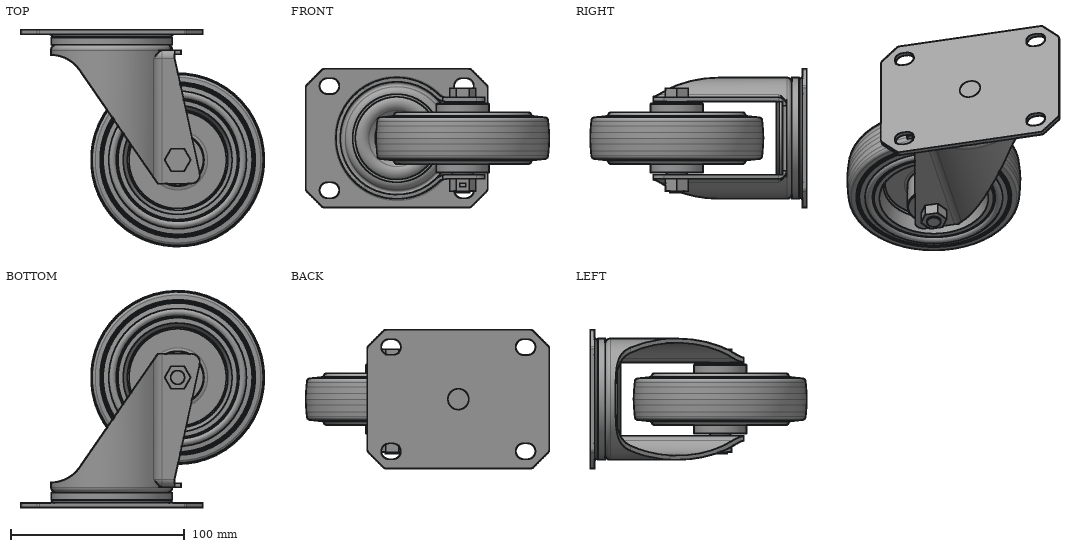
import cadquery as cq
import math


PLATE_LENGTH = 105.0
PLATE_WIDTH = 80.0
PLATE_THICKNESS = 2.7
PLATE_CORNER = 10.0
PLATE_CORNER_ROUND = 2.0
SLOT_SPACING_X = 77.5
SLOT_SPACING_Z = 60.0
SLOT_LENGTH = 11.2
SLOT_WIDTH = 9.0
BOSS_DEPTH = 1.4
BOSS_RADIUS = 34.5
BOSS_FLARE = 1.3

HEAD_RADIUS = 35.0
RING_TOP = -(PLATE_THICKNESS + BOSS_DEPTH)
RING_BOTTOM = -8.7
RING_CHAMFER = 0.6
PIN_RADIUS = 6.0
PIN_HEAD_BOTTOM = -17.6
PIN_HEAD_RADIUS = 8.8
PIN_HEAD_BULGE = 1.1
CAP_TOP = -13.9
CAP_RADIUS = 25.4
CAP_LIP = -16.1
CAP_BOTTOM = -17.7
CAP_DOME_OUTER_RADIUS = 23.8
CAP_DOME_INNER_RADIUS = 16.2
CAP_HOLE_RADIUS = 12.5

SHEET = 2.5
FORK_TOP = RING_BOTTOM
CUP_EDGE_RADIUS = 3.0
GUTTER_TOP = -10.1
GUTTER_RADIUS = 1.4
RISE_RADIUS = 29.8
LEG_OUTER_Z = 23.5
LEG_INNER_Z = LEG_OUTER_Z - SHEET
LEG_BEND_RADIUS = 7.0
TONGUE_TOP = -11.7
TONGUE_END_X = 40.0
TONGUE_EDGE_RADIUS = 4.8
LEG_FRONT_X = 36.3
LEG_FRONT_TOP = TONGUE_TOP - TONGUE_EDGE_RADIUS
LEG_BOTTOM = -88.6
LEG_BOTTOM_FRONT_X = 52.0
LEG_CORNER_RADIUS = 5.0
CUP_REAR_BOTTOM = -14.6
CUP_REAR_ARC_RADIUS = 20.0
LEG_REAR_SLOPE = math.radians(55.4)

AXLE_X = 38.0
AXLE_Y = -75.0
TYRE_RADIUS = 50.0
RIM_RADIUS = 34.8
RIM_INNER_RADIUS = 31.4
RIM_HALF_WIDTH = 13.4
DISC_HALF_THICKNESS = 3.0
DISC_RADIUS = 28.0
RIM_ROOT_RADIUS = 29.0
RIM_ROOT_RISE = 1.2
RIM_CHAMFER = 0.4
HUB_RADIUS = 15.2
HUB_HALF_LENGTH = 20.0
HUB_CHAMFER = 0.4
HUB_FOOT_WIDTH = 2.0
HUB_FOOT_HEIGHT = 0.5
BEAD_HALF_WIDTH = 15.0
BEAD_INNER_RADIUS = 35.4
BEAD_OUTER_RADIUS = 39.7
SIDE_HALF_WIDTH = 12.9
SHOULDER_RADIUS = 47.7
SHOULDER_HALF_WIDTH = 12.0
SHOULDER_MIDDLE = (48.9, 11.2)
GROOVE_COUNT = 4
GROOVE_FIRST_RADIUS = 42.9
GROOVE_PITCH = 0.47
GROOVE_DEPTH = 0.3
TREAD_STEPS = [(49.3, 9.8), (49.6, 7.2), (49.85, 3.3)]

SLEEVE_RADIUS = 6.0
BOLT_RADIUS = 4.0
HEX_WIDTH = 13.0
HEX_CORNERS = HEX_WIDTH / math.cos(math.pi / 6)
BOLT_HEAD_HEIGHT = 5.4
NUT_HEIGHT = 7.0
NUT_MARK_LENGTH = 3.5
NUT_MARK_WIDTH = 2.2
NUT_MARK_DEPTH = 0.3
BOLT_END = -(LEG_OUTER_Z + NUT_HEIGHT + 1.0)


def swivel_turned(profile):
    """Revolve a closed (radius, Y) profile about the swivel axis."""
    return profile.close().revolve(360, (0, 0, 0), (0, 1, 0))


def at_axle(body):
    return body.translate((AXLE_X, AXLE_Y, 0))


def swivel_bore():
    return cq.Workplane("XZ").circle(PIN_RADIUS).extrude(-CAP_BOTTOM)


def make_plate():
    plate = (
        cq.Workplane("XZ")
        .rect(PLATE_LENGTH, PLATE_WIDTH)
        .extrude(PLATE_THICKNESS)
        .edges("|Y")
        .chamfer(PLATE_CORNER)
        .edges("|Y")
        .fillet(PLATE_CORNER_ROUND)
    )
    boss = swivel_turned(
        cq.Workplane("XY")
        .moveTo(0, -PLATE_THICKNESS)
        .lineTo(BOSS_RADIUS + BOSS_FLARE, -PLATE_THICKNESS)
        .radiusArc((BOSS_RADIUS, -PLATE_THICKNESS - BOSS_FLARE), -BOSS_FLARE)
        .lineTo(BOSS_RADIUS, RING_TOP)
        .lineTo(0, RING_TOP)
    )
    slots = (
        cq.Workplane("XZ")
        .rarray(SLOT_SPACING_X, SLOT_SPACING_Z, 2, 2)
        .slot2D(SLOT_LENGTH, SLOT_WIDTH)
        .extrude(PLATE_THICKNESS)
    )
    return plate.union(boss).cut(slots).cut(swivel_bore())


def make_ring():
    ring = cq.Workplane("XZ", origin=(0, RING_TOP, 0)).circle(HEAD_RADIUS).extrude(RING_TOP - RING_BOTTOM)
    return ring.edges(">Y").chamfer(RING_CHAMFER).cut(swivel_bore())


def leg_plan(offset, front_x, top):
    """Plan between the legs and their bends, down from Y = top; offset is inward from the outside."""
    radius = HEAD_RADIUS - offset
    half_width = LEG_OUTER_Z - offset
    bend = LEG_BEND_RADIUS + offset
    bend_z = half_width + bend
    bend_x = math.sqrt((radius + bend) ** 2 - bend_z ** 2)
    fraction = radius / (radius + bend)
    start = (bend_x * fraction, bend_z * fraction)
    return (
        cq.Workplane("XZ", origin=(0, top, 0))
        .moveTo(0, -start[1])
        .lineTo(start[0], -start[1])
        .radiusArc((bend_x, -half_width), bend)
        .lineTo(front_x, -half_width)
        .lineTo(front_x, half_width)
        .lineTo(bend_x, half_width)
        .radiusArc(start, bend)
        .lineTo(0, start[1])
        .close()
        .extrude(top - LEG_BOTTOM)
    )


def make_cup_bore():
    """Space inside the cup: straight wall, round gutter, then a rounded rise to the flat seat of the cap."""
    wall_radius = HEAD_RADIUS - SHEET
    gutter_centre = wall_radius - GUTTER_RADIUS
    gutter_end = GUTTER_TOP - GUTTER_RADIUS + math.sqrt(GUTTER_RADIUS ** 2 - (gutter_centre - RISE_RADIUS) ** 2)
    rise_width = RISE_RADIUS - CAP_RADIUS
    rise_height = gutter_end - CAP_TOP
    rise_arc_radius = (rise_width ** 2 + rise_height ** 2) / (2 * rise_height)
    return swivel_turned(
        cq.Workplane("XY")
        .moveTo(0, CAP_TOP)
        .lineTo(CAP_RADIUS, CAP_TOP)
        .radiusArc((RISE_RADIUS, gutter_end), -rise_arc_radius)
        .threePointArc((gutter_centre, GUTTER_TOP), (wall_radius, GUTTER_TOP - GUTTER_RADIUS))
        .lineTo(wall_radius, LEG_BOTTOM)
        .lineTo(0, LEG_BOTTOM)
    )


def make_fork():
    cup = (
        cq.Workplane("XZ", origin=(0, FORK_TOP, 0))
        .circle(HEAD_RADIUS)
        .extrude(FORK_TOP - LEG_BOTTOM)
        .edges(">Y")
        .fillet(CUP_EDGE_RADIUS)
    )
    cup_bore = make_cup_bore()
    front = LEG_BOTTOM_FRONT_X + SHEET
    legs = leg_plan(0, front, TONGUE_TOP)
    legs = legs.faces(">Y").edges("not |Z").fillet(TONGUE_EDGE_RADIUS)
    gap = leg_plan(SHEET, front, TONGUE_TOP - SHEET)
    body = cup.cut(cup_bore).union(legs.cut(cup_bore)).cut(gap)

    arc_end = (
        -HEAD_RADIUS + CUP_REAR_ARC_RADIUS * math.sin(LEG_REAR_SLOPE),
        CUP_REAR_BOTTOM - CUP_REAR_ARC_RADIUS * (1 - math.cos(LEG_REAR_SLOPE)),
    )
    foot_x = arc_end[0] + (arc_end[1] - LEG_BOTTOM) / math.tan(LEG_REAR_SLOPE)
    outline = (
        cq.Workplane("XY", origin=(0, 0, -HEAD_RADIUS))
        .moveTo(-HEAD_RADIUS, 0)
        .lineTo(-HEAD_RADIUS, CUP_REAR_BOTTOM)
        .radiusArc(arc_end, CUP_REAR_ARC_RADIUS)
        .lineTo(foot_x, LEG_BOTTOM)
        .lineTo(LEG_BOTTOM_FRONT_X, LEG_BOTTOM)
        .lineTo(LEG_FRONT_X, LEG_FRONT_TOP)
        .lineTo(LEG_FRONT_X, 0)
        .close()
        .extrude(2 * HEAD_RADIUS)
    )
    outline = outline.edges("|Z").edges(">X").fillet(LEG_CORNER_RADIUS)
    tongue_half_width = LEG_OUTER_Z - TONGUE_EDGE_RADIUS
    tongue = cq.Workplane("XY").box(
        TONGUE_END_X - HEAD_RADIUS, SHEET, 2 * tongue_half_width, centered=(False, False, True)
    ).translate((HEAD_RADIUS, TONGUE_TOP - SHEET, 0))
    axle_hole = at_axle(cq.Workplane("XY").circle(BOLT_RADIUS).extrude(HEAD_RADIUS, both=True))
    return body.intersect(outline).union(tongue).cut(axle_hole).cut(swivel_bore())


def make_cap():
    crest_radius = (CAP_DOME_OUTER_RADIUS + CAP_DOME_INNER_RADIUS) / 2
    return swivel_turned(
        cq.Workplane("XY")
        .moveTo(CAP_HOLE_RADIUS, CAP_TOP)
        .lineTo(CAP_RADIUS, CAP_TOP)
        .lineTo(CAP_RADIUS, CAP_LIP)
        .lineTo(CAP_DOME_OUTER_RADIUS, CAP_LIP)
        .threePointArc((crest_radius, CAP_BOTTOM), (CAP_DOME_INNER_RADIUS, CAP_LIP))
    )


def make_king_pin():
    head_middle = (CAP_TOP + PIN_HEAD_BOTTOM) / 2
    return swivel_turned(
        cq.Workplane("XY")
        .lineTo(PIN_RADIUS, 0)
        .lineTo(PIN_RADIUS, CAP_TOP)
        .lineTo(PIN_HEAD_RADIUS, CAP_TOP)
        .threePointArc((PIN_HEAD_RADIUS + PIN_HEAD_BULGE, head_middle), (PIN_HEAD_RADIUS, PIN_HEAD_BOTTOM))
        .lineTo(0, PIN_HEAD_BOTTOM)
    )


def wheel_turned(half_profile):
    """Revolve a half (radius, Z) profile standing on Z = 0 about the axle and mirror it below."""
    half = half_profile.close().revolve(360, (0, 0, 0), (0, 1, 0))
    return at_axle(half.union(half.mirror("XY")))


def make_hub():
    return wheel_turned(
        cq.Workplane("XZ")
        .moveTo(SLEEVE_RADIUS, 0)
        .lineTo(SLEEVE_RADIUS, HUB_HALF_LENGTH)
        .lineTo(HUB_RADIUS - HUB_CHAMFER, HUB_HALF_LENGTH)
        .lineTo(HUB_RADIUS, HUB_HALF_LENGTH - HUB_CHAMFER)
        .lineTo(HUB_RADIUS, DISC_HALF_THICKNESS + HUB_FOOT_HEIGHT)
        .lineTo(HUB_RADIUS + HUB_FOOT_WIDTH, DISC_HALF_THICKNESS)
        .lineTo(DISC_RADIUS, DISC_HALF_THICKNESS)
        .lineTo(RIM_ROOT_RADIUS, DISC_HALF_THICKNESS + RIM_ROOT_RISE)
        .lineTo(RIM_INNER_RADIUS, RIM_HALF_WIDTH)
        .lineTo(RIM_RADIUS - RIM_CHAMFER, RIM_HALF_WIDTH)
        .lineTo(RIM_RADIUS, RIM_HALF_WIDTH - RIM_CHAMFER)
        .lineTo(RIM_RADIUS, 0)
    )


def make_tyre():
    bead_middle = (BEAD_INNER_RADIUS + BEAD_OUTER_RADIUS) / 2
    profile = (
        cq.Workplane("XZ")
        .moveTo(RIM_RADIUS, 0)
        .lineTo(RIM_RADIUS, SIDE_HALF_WIDTH)
        .lineTo(BEAD_INNER_RADIUS, SIDE_HALF_WIDTH)
        .threePointArc((bead_middle, BEAD_HALF_WIDTH), (BEAD_OUTER_RADIUS, SIDE_HALF_WIDTH))
    )
    slope = (SIDE_HALF_WIDTH - SHOULDER_HALF_WIDTH) / (SHOULDER_RADIUS - BEAD_OUTER_RADIUS)
    for index in range(GROOVE_COUNT):
        start = GROOVE_FIRST_RADIUS + index * GROOVE_PITCH
        side = SIDE_HALF_WIDTH - slope * (start - BEAD_OUTER_RADIUS)
        profile = profile.lineTo(start, side).lineTo(start + GROOVE_PITCH / 2, side - GROOVE_DEPTH)
    groove_end = GROOVE_FIRST_RADIUS + GROOVE_COUNT * GROOVE_PITCH
    profile = (
        profile.lineTo(groove_end, SIDE_HALF_WIDTH - slope * (groove_end - BEAD_OUTER_RADIUS))
        .lineTo(SHOULDER_RADIUS, SHOULDER_HALF_WIDTH)
        .threePointArc(SHOULDER_MIDDLE, TREAD_STEPS[0])
    )
    for step in TREAD_STEPS[1:]:
        profile = profile.lineTo(*step)
    return wheel_turned(profile.lineTo(TYRE_RADIUS, 0))


def make_sleeve():
    return at_axle(
        cq.Workplane("XY").circle(SLEEVE_RADIUS).circle(BOLT_RADIUS).extrude(LEG_INNER_Z, both=True)
    )


def make_bolt():
    shank = cq.Workplane("XY", origin=(0, 0, BOLT_END)).circle(BOLT_RADIUS).extrude(LEG_OUTER_Z - BOLT_END)
    head = cq.Workplane("XY", origin=(0, 0, LEG_OUTER_Z)).polygon(6, HEX_CORNERS).extrude(BOLT_HEAD_HEIGHT)
    return at_axle(shank.union(head))


def make_nut():
    nut = cq.Workplane("XY", origin=(0, 0, -LEG_OUTER_Z)).polygon(6, HEX_CORNERS).circle(BOLT_RADIUS)
    mark = cq.Workplane("XY").box(NUT_MARK_LENGTH, 2 * NUT_MARK_DEPTH, NUT_MARK_WIDTH)
    mark = mark.translate((0, -HEX_WIDTH / 2, -LEG_OUTER_Z - NUT_HEIGHT / 2))
    return at_axle(nut.extrude(-NUT_HEIGHT).cut(mark))


plate = make_plate()
ring = make_ring()
fork = make_fork()
cap = make_cap()
king_pin = make_king_pin()
hub = make_hub()
tyre = make_tyre()
sleeve = make_sleeve()
bolt = make_bolt()
nut = make_nut()

bodies = [plate, ring, fork, cap, king_pin, hub, tyre, sleeve, bolt, nut]
result = cq.Compound.makeCompound([body.val() for body in bodies])